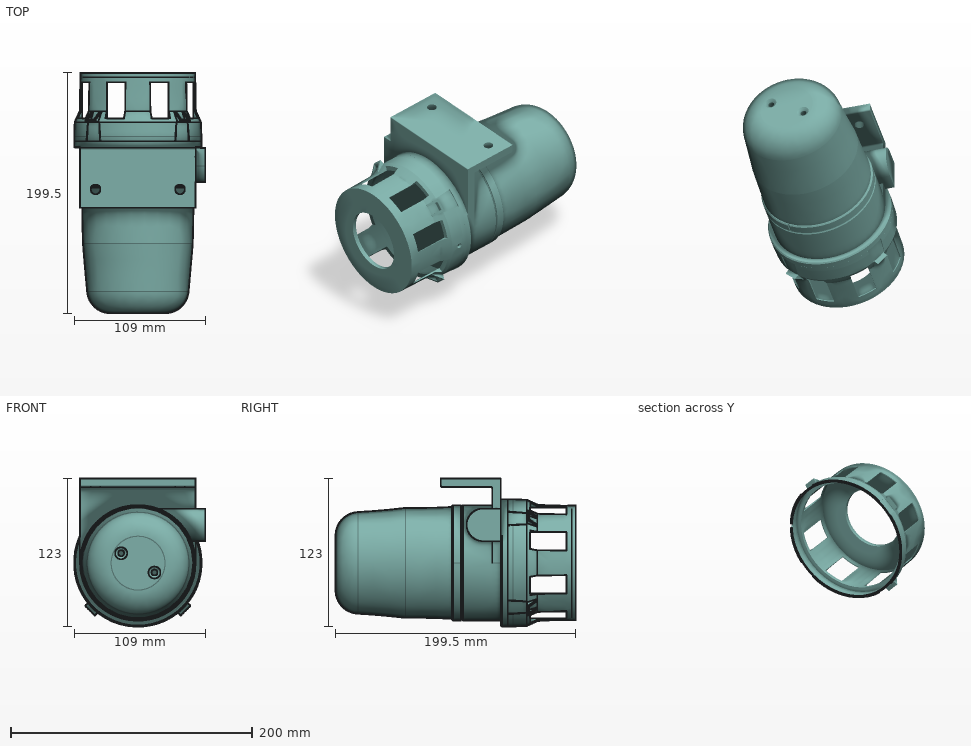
import cadquery as cq
import math


tube_radius = 96.0 / 2
collar_radius = 106.0 / 2
dome_joint_y = 104.7
cage_joint_y = 142.8

nose_flat_radius = 22.3
nose_round_radius = 20.0
dome_taper_angle = math.radians(4.3)
dome_waist_radius = 45.7
dome_waist_y = 58.0
dome_root_radius = 46.5
dome_root_y = 96.5
band_chamfer = 1.0
band_back_y = 104.1
neck_radius = 94.0 / 2
band_slit_width = 1.5
band_slit_depth = 1.0
band_slit_angle = 239.5
nose_hole_distance = 16.0
nose_hole_angles = (150, 330)
nose_hole_diameter = 5.0
nose_sink_diameter = 10.0
nose_sink_depth = 2.0
nose_hole_depth = 8.0

tube_chamfer = 1.2
flange_front_y = 137.3
flange_chamfer = 1.0
bracket_top_z = 70.0
bracket_thickness = 7.2
bracket_reach = 49.9
bracket_inner_radius = 1.2
bracket_outer_radius = 0.5
bracket_hole_diameter = 8.0
bracket_hole_spacing = 70.0
bracket_hole_y = 102.7
entry_end_x = 109.0 - collar_radius
entry_height = 27.0
entry_centre_y = 122.3
entry_centre_z = 31.5

cage_rim_y = 199.5
cage_rim_radius = 47.7
cage_neck_radius = 48.3
cage_neck_y = 167.5
shoulder_radius = 52.5
shoulder_y = 158.6
skirt_y = 147.0
cage_bore_radius = 94.0 / 2
skirt_wall = 2.0
skirt_inner_radius = collar_radius - skirt_wall
rim_plate_thickness = 3.5
rim_opening_diameter = 51.0

window_count = 8
window_width = 16.5
window_top_y = 191.5
window_bottom_y = 161.5

hook_count = 4
first_hook_angle = 45
hook_width = 11.4
hook_tip_radius = 56.0
hook_tip_y = 159.6
hook_wall = 2.0
hook_end_wall = 1.2
recess_floor_radius = 52.0
recess_top_width = 13.2
recess_bottom_width = 16.0

screw_y = 151.0
screw_hole_diameter = 2.8
screw_head_diameter = 4.5
screw_head_depth = 1.8


def revolve_about_y(profile):
    return profile.close().revolve(360, (0, 0, 0), (0, 1, 0))


def turned(body, angle):
    """Turn a body that lies along +X to an angle, counted from +X towards +Z."""
    return body.rotate((0, 0, 0), (0, 1, 0), -angle)


def box_between(x0, x1, y0, y1, z0, z1):
    return cq.Workplane("XY").box(x1 - x0, y1 - y0, z1 - z0, centered=False).translate((x0, y0, z0))


def make_dome():
    round_side_radius = nose_flat_radius + nose_round_radius * math.cos(dome_taper_angle)
    round_side_y = nose_round_radius * (1 - math.sin(dome_taper_angle))
    half_turn = (math.pi / 2 - dome_taper_angle) / 2
    round_middle = (
        nose_flat_radius + nose_round_radius * math.sin(half_turn),
        nose_round_radius * (1 - math.cos(half_turn)),
    )
    band_front_y = dome_root_y + band_chamfer
    profile = (
        cq.Workplane("XY")
        .lineTo(nose_flat_radius, 0)
        .threePointArc(round_middle, (round_side_radius, round_side_y))
        .lineTo(dome_waist_radius, dome_waist_y)
        .lineTo(dome_root_radius, dome_root_y)
        .lineTo(tube_radius - band_chamfer, dome_root_y)
        .lineTo(tube_radius, band_front_y)
        .lineTo(tube_radius, band_back_y)
        .lineTo(neck_radius, band_back_y)
        .lineTo(neck_radius, dome_joint_y)
        .lineTo(0, dome_joint_y)
    )
    dome = revolve_about_y(profile)

    slit = box_between(
        tube_radius - band_slit_depth, collar_radius,
        dome_root_y, band_back_y,
        -band_slit_width / 2, band_slit_width / 2,
    )
    dome = dome.cut(turned(slit, band_slit_angle))

    hole_profile = (
        cq.Workplane("XY")
        .lineTo(nose_sink_diameter / 2, 0)
        .lineTo(nose_hole_diameter / 2, nose_sink_depth)
        .lineTo(nose_hole_diameter / 2, nose_hole_depth)
        .lineTo(0, nose_hole_depth)
    )
    hole = revolve_about_y(hole_profile).translate((nose_hole_distance, 0, 0))
    for angle in nose_hole_angles:
        dome = dome.cut(turned(hole, angle))
    return dome


def make_bracket():
    """Angle bracket as wide as the tube, whose upright merges with the upper half of the tube."""
    front_y = flange_front_y - bracket_reach
    bracket = (
        cq.Workplane("YZ")
        .moveTo(flange_front_y, 0)
        .lineTo(flange_front_y, bracket_top_z)
        .lineTo(front_y, bracket_top_z)
        .lineTo(front_y, bracket_top_z - bracket_thickness)
        .lineTo(flange_front_y - bracket_thickness, bracket_top_z - bracket_thickness)
        .lineTo(flange_front_y - bracket_thickness, 0)
        .close()
        .extrude(tube_radius, both=True)
    )
    inner_bend = cq.selectors.NearestToPointSelector(
        (0, flange_front_y - bracket_thickness, bracket_top_z - bracket_thickness)
    )
    outer_bend = cq.selectors.NearestToPointSelector((0, flange_front_y, bracket_top_z))
    lower_lip = cq.selectors.NearestToPointSelector((0, front_y, bracket_top_z - bracket_thickness))
    bracket = bracket.edges(inner_bend).fillet(bracket_inner_radius)
    bracket = bracket.edges(lower_lip).fillet(bracket_inner_radius)
    bracket = bracket.edges(outer_bend).fillet(bracket_outer_radius)
    holes = (
        cq.Workplane("XY", origin=(0, bracket_hole_y, bracket_top_z))
        .rarray(bracket_hole_spacing, 2, 2, 1)
        .circle(bracket_hole_diameter / 2)
        .extrude(-bracket_thickness)
    )
    return bracket.cut(holes)


def make_cable_entry():
    """Block on the flange with a rounded front, running out to +X."""
    half_height = entry_height / 2
    return (
        cq.Workplane("YZ")
        .moveTo(flange_front_y, entry_centre_z - half_height)
        .lineTo(entry_centre_y, entry_centre_z - half_height)
        .threePointArc(
            (entry_centre_y - half_height, entry_centre_z),
            (entry_centre_y, entry_centre_z + half_height),
        )
        .lineTo(flange_front_y, entry_centre_z + half_height)
        .close()
        .extrude(entry_end_x)
    )


def make_housing():
    tube_profile = (
        cq.Workplane("XY", origin=(0, dome_joint_y, 0))
        .lineTo(tube_radius - tube_chamfer, 0)
        .lineTo(tube_radius, tube_chamfer)
        .lineTo(tube_radius, cage_joint_y - dome_joint_y)
        .lineTo(0, cage_joint_y - dome_joint_y)
    )
    flange_profile = (
        cq.Workplane("XY")
        .moveTo(0, flange_front_y)
        .lineTo(collar_radius, flange_front_y)
        .lineTo(collar_radius, cage_joint_y)
        .lineTo(0, cage_joint_y)
    )
    flange = revolve_about_y(flange_profile)

    bevel_profile = (
        cq.Workplane("XY")
        .moveTo(collar_radius, flange_front_y)
        .lineTo(collar_radius, flange_front_y + flange_chamfer)
        .lineTo(collar_radius - flange_chamfer, flange_front_y)
    )
    behind_bracket = box_between(
        -tube_radius, tube_radius,
        flange_front_y, cage_joint_y,
        0, bracket_top_z,
    )
    flange = flange.cut(revolve_about_y(bevel_profile).cut(behind_bracket))

    return (
        revolve_about_y(tube_profile)
        .union(flange)
        .union(make_bracket())
        .union(make_cable_entry())
    )


def make_cage_shell():
    profile = (
        cq.Workplane("XY")
        .moveTo(collar_radius, cage_joint_y)
        .lineTo(collar_radius, skirt_y)
        .lineTo(shoulder_radius, shoulder_y)
        .lineTo(cage_neck_radius, cage_neck_y)
        .lineTo(cage_rim_radius, cage_rim_y)
        .lineTo(rim_opening_diameter / 2, cage_rim_y)
        .lineTo(rim_opening_diameter / 2, cage_rim_y - rim_plate_thickness)
        .lineTo(cage_bore_radius, cage_rim_y - rim_plate_thickness)
        .lineTo(cage_bore_radius, shoulder_y)
        .lineTo(skirt_inner_radius, shoulder_y)
        .lineTo(skirt_inner_radius, cage_joint_y)
    )
    return revolve_about_y(profile)


def make_hook():
    """Wedge on the cage's cone, along +X, with a pocket in its sloping face down to the cone."""
    def wedge(width, end_y):
        return (
            cq.Workplane("XY")
            .moveTo(cage_neck_radius, cage_neck_y)
            .lineTo(hook_tip_radius, hook_tip_y)
            .lineTo(shoulder_radius, shoulder_y)
            .lineTo(shoulder_radius - skirt_wall, shoulder_y)
            .lineTo(cage_bore_radius, cage_neck_y)
            .close()
            .extrude(width / 2, both=True)
            .intersect(box_between(0, hook_tip_radius, end_y, cage_neck_y, -width, width))
        )

    pocket = wedge(hook_width - 2 * hook_wall, hook_tip_y + hook_end_wall)
    return wedge(hook_width, shoulder_y).cut(pocket)


def make_hook_recess():
    """Shallow recess with a round floor, along +X, a little wider where the cage meets the housing."""
    core = (
        cq.Workplane("XZ", origin=(0, cage_joint_y, 0))
        .circle(recess_floor_radius)
        .extrude(cage_joint_y - shoulder_y)
    )
    return (
        cq.Workplane("YZ", origin=(skirt_inner_radius, 0, 0))
        .moveTo(shoulder_y, -recess_top_width / 2)
        .lineTo(shoulder_y, recess_top_width / 2)
        .lineTo(cage_joint_y, recess_bottom_width / 2)
        .lineTo(cage_joint_y, -recess_bottom_width / 2)
        .close()
        .extrude(skirt_wall)
        .cut(core)
    )


def make_cage():
    cage = make_cage_shell()

    hook = make_hook()
    recess = make_hook_recess()
    for index in range(hook_count):
        angle = first_hook_angle + index * 360 / hook_count
        cage = cage.union(turned(hook, angle)).cut(turned(recess, angle))

    window = box_between(
        rim_opening_diameter / 2, collar_radius,
        window_bottom_y, window_top_y,
        -window_width / 2, window_width / 2,
    )
    for index in range(window_count):
        cage = cage.cut(turned(window, (index + 0.5) * 360 / window_count))

    screw_profile = (
        cq.Workplane("XY", origin=(-collar_radius, screw_y, 0))
        .lineTo(0, screw_head_diameter / 2)
        .lineTo(screw_head_depth, screw_hole_diameter / 2)
        .lineTo(2 * skirt_wall, screw_hole_diameter / 2)
        .lineTo(2 * skirt_wall, 0)
    )
    screw_hole = screw_profile.close().revolve(360, (0, 0, 0), (1, 0, 0))
    return cage.cut(screw_hole)


dome = make_dome()
housing = make_housing()
cage = make_cage()

result = cq.Compound.makeCompound([dome.solids().val(), housing.solids().val(), cage.solids().val()])